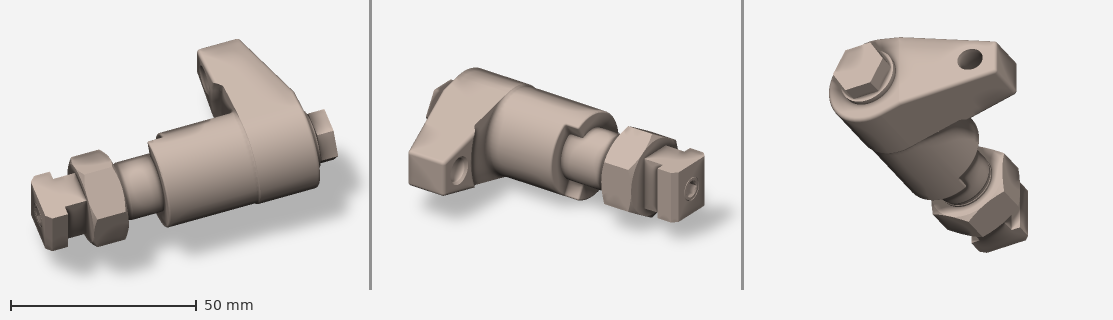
import cadquery as cq
import math

total_length = 82.9
t_head_height = 6.0
nut_start = 12.2
nut_height = 9.95
thread_groove_start = 22.7
thread_groove_end = 23.5
shaft_start = 24.2
sleeve_start = 33.2
notch_depth = 4.5
pad_start = 57.0
lever_start = 59.0
lever_end = 76.2
shaft_end = 77.8
bolt_head_start = 78.25

t_head_width = 15.0
t_neck_width = 9.8
t_head_chamfer = 1.5
screw_hole_radius = 3.4
screw_gap = 0.25
socket_flats = 4.15
socket_rim_radius = 2.4
socket_depth = 3.0
socket_floor_depth = 1.2

nut_flats = 22.0
nut_chamfer_angle = math.radians(30)
shaft_radius = 8.0
bore_radius = 8.1
thread_radius = 7.9
thread_groove_radius = 7.6
sleeve_radius = 12.6
sleeve_edge_round = 0.5
sleeve_root_radius = 0.8
notch_angle = math.radians(120)
bolt_flats = 13.3
bolt_collar_top_radius = 6.2
bolt_collar_bottom_radius = 5.8

hub_radius = 13.0
lever_reach = 35.0
lever_taper = math.radians(13.3)
slope_angle = math.radians(15)
slope_start = -8.95
lever_round = 1.0
pad_inner_radius = 22.4
eye_distance = 28.0
eye_radius = 3.4
eye_chamfer = 0.7


def plane_at(y):
    """XZ sketch plane at station y, with its normal along -Y."""
    return cq.Workplane("XZ", origin=(0, y, 0))


def cylinder(y_start, y_end, radius):
    return plane_at(y_start).circle(radius).extrude(y_start - y_end)


def hexagon(y_start, y_end, flats, first_corner):
    """Hexagonal prism; first_corner is the angle in degrees from +X to one corner."""
    corner_diameter = flats / math.cos(math.pi / 6)
    sketch = plane_at(y_start).transformed(rotate=(0, 0, first_corner))
    return sketch.polygon(6, corner_diameter).extrude(y_start - y_end)


def turned(points):
    """Solid of revolution about the Y axis from (radius, y) points."""
    return cq.Workplane("XY").polyline(points).close().revolve(360, (0, 0, 0), (0, 1, 0))


def t_nut():
    half_head = t_head_width / 2
    half_neck = t_neck_width / 2
    profile = [
        (half_head - t_head_chamfer, 0),
        (half_head, t_head_chamfer),
        (half_head, t_head_height),
        (half_neck, t_head_height),
        (half_neck, nut_start),
    ]
    mirrored = [(-x, y) for x, y in reversed(profile)]
    body = cq.Workplane("XY").polyline(profile + mirrored).close().extrude(half_head, both=True)

    ring = turned([
        (screw_hole_radius, 0),
        (screw_hole_radius, screw_gap),
        (screw_hole_radius - screw_gap, 0),
    ])
    socket_radius = socket_flats / 2
    socket = hexagon(0, socket_depth, socket_flats, 0)
    rim = turned([(0, 0), (socket_rim_radius, 0), (0, socket_rim_radius)])
    floor = turned([(0, socket_depth), (socket_radius, socket_depth), (0, socket_depth + socket_floor_depth)])
    return body.cut(ring).cut(socket).cut(rim).cut(floor)


def lock_nut():
    nut_end = nut_start + nut_height
    face_radius = nut_flats / 2
    corner_radius = face_radius / math.cos(math.pi / 6)
    bevel = (corner_radius - face_radius) * math.tan(nut_chamfer_angle)
    envelope = turned([
        (0, nut_start),
        (face_radius, nut_start),
        (corner_radius, nut_start + bevel),
        (corner_radius, nut_end - bevel),
        (face_radius, nut_end),
        (0, nut_end),
    ])
    return hexagon(nut_start, nut_end, nut_flats, 90).intersect(envelope)


def shaft():
    return turned([
        (0, nut_start),
        (thread_radius, nut_start),
        (thread_radius, thread_groove_start),
        (thread_groove_radius, thread_groove_start),
        (thread_groove_radius, thread_groove_end),
        (shaft_radius, shaft_start),
        (shaft_radius, shaft_end),
        (0, shaft_end),
    ])


def sleeve():
    body = cylinder(sleeve_start, lever_start, sleeve_radius)
    body = body.cut(cylinder(sleeve_start, lever_start, bore_radius))

    sector_reach = 2 * sleeve_radius
    sector_x = -sector_reach * math.cos(notch_angle / 2)
    sector_z = sector_reach * math.sin(notch_angle / 2)
    notch = (
        plane_at(sleeve_start)
        .moveTo(0, 0)
        .lineTo(sector_x, sector_z)
        .lineTo(-sector_reach, 0)
        .lineTo(sector_x, -sector_z)
        .close()
        .extrude(-notch_depth)
    )
    body = body.cut(notch)

    notched_end = cq.selectors.BoxSelector(
        (-sector_reach, sleeve_start - sleeve_edge_round, -sector_reach),
        (sector_reach, sleeve_start + notch_depth + sleeve_edge_round, sector_reach),
    )
    rounded_edges = []
    for edge in body.edges(notched_end).vals():
        center = edge.Center()
        if math.hypot(center.x, center.z) > bore_radius + sleeve_edge_round:
            rounded_edges.append(edge)
    return body.newObject(rounded_edges).fillet(sleeve_edge_round)


def lever_blank(y_start, y_end):
    """Round hub with two tangent sides tapering to a flat tip."""
    tangent_x = -hub_radius * math.sin(lever_taper)
    tangent_z = hub_radius * math.cos(lever_taper)
    tip_z = (hub_radius - lever_reach * math.sin(lever_taper)) / math.cos(lever_taper)
    return (
        plane_at(y_start)
        .moveTo(-lever_reach, -tip_z)
        .lineTo(tangent_x, -tangent_z)
        .threePointArc((hub_radius, 0), (tangent_x, tangent_z))
        .lineTo(-lever_reach, tip_z)
        .close()
        .extrude(y_start - y_end)
    )


def lever():
    body = lever_blank(pad_start, lever_end)

    slope_drop = (lever_reach + slope_start) * math.tan(slope_angle)
    slope = (
        cq.Workplane("XY")
        .moveTo(slope_start, lever_end)
        .lineTo(-lever_reach, lever_end)
        .lineTo(-lever_reach, lever_end - slope_drop)
        .close()
        .extrude(hub_radius, both=True)
    )
    body = body.cut(slope)

    floor_radius = pad_inner_radius - (lever_start - pad_start)
    setback = lever_round * math.tan(math.pi / 8)
    setback_on_cone = setback * math.sin(math.pi / 4)
    recess = (
        cq.Workplane("XY")
        .moveTo(0, pad_start)
        .lineTo(pad_inner_radius, pad_start)
        .lineTo(floor_radius + setback_on_cone, lever_start - setback_on_cone)
        .radiusArc((floor_radius - setback, lever_start), -lever_round)
        .lineTo(0, lever_start)
        .close()
        .revolve(360, (0, 0, 0), (0, 1, 0))
    )
    body = body.cut(recess)

    slope_normal = cq.Vector(-math.sin(slope_angle), math.cos(slope_angle), 0)
    slope_face = cq.selectors.ParallelDirSelector(slope_normal)
    rounded_edges = (
        body.faces(">Y").edges("not |Z").vals()
        + body.faces(slope_face).edges("not |Z").vals()
        + body.faces("<X").edges().vals()
        + body.faces("<Y").edges().vals()
    )
    return body.newObject(rounded_edges).fillet(lever_round)


def lever_eye():
    mouth_radius = eye_radius + eye_chamfer
    bore = cylinder(pad_start, lever_end, eye_radius)
    mouth = turned([
        (0, pad_start),
        (mouth_radius, pad_start),
        (eye_radius, pad_start + eye_chamfer),
        (0, pad_start + eye_chamfer),
    ])
    return bore.union(mouth).translate((-eye_distance, 0, 0))


def sleeve_root():
    """Concave fillet where the sleeve meets the lever, trimmed to the hub outline."""
    outer = sleeve_radius + sleeve_root_radius
    foot = lever_start - sleeve_root_radius
    ring = (
        cq.Workplane("XY")
        .moveTo(bore_radius, foot)
        .lineTo(sleeve_radius, foot)
        .radiusArc((outer, lever_start), sleeve_root_radius)
        .lineTo(bore_radius, lever_start)
        .close()
        .revolve(360, (0, 0, 0), (0, 1, 0))
    )
    return ring.intersect(lever_blank(foot, lever_start))


def bolt():
    collar = turned([
        (0, shaft_end),
        (bolt_collar_bottom_radius, shaft_end),
        (bolt_collar_top_radius, bolt_head_start),
        (0, bolt_head_start),
    ])
    return collar.union(hexagon(bolt_head_start, total_length, bolt_flats, 0))


result = t_nut()
for component in (lock_nut(), shaft(), sleeve(), sleeve_root(), lever().cut(lever_eye()), bolt()):
    result = result.union(component)